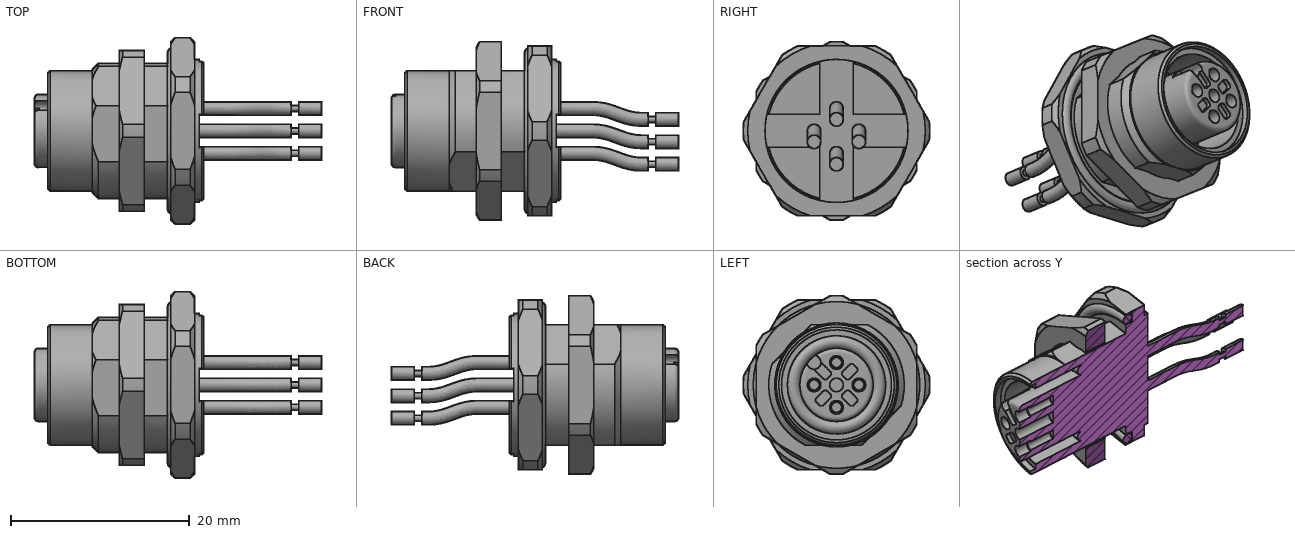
import cadquery as cq
import math

TOTAL_LENGTH = 32.15

INSERT_DIAMETER = 8.2
INSERT_EDGE_RADIUS = 0.48
CONTACT_OFFSET = 2.5
HOLE_DIAMETER = 1.5
SOCKET_DIAMETER = 1.15
MOUTH_DEPTH = 1.6
HOLE_DEPTH = 4.82
KEY_DEPTH = 3.2
KEY_ANGLE = 45.0
KEY_RADIUS = CONTACT_OFFSET * math.sqrt(2)
WINDOW_WIDTH = 1.13
WINDOW_INNER = 1.22
WINDOW_OUTER = 2.95
WINDOW_CORNER_RADIUS = 0.32
WINDOW_DEPTH = 0.55

SLEEVE_START = 1.48
SLEEVE_DIAMETER = 13.5
SLEEVE_CHAMFER = 0.3
RECESS_DIAMETER = 12.3
RECESS_DEPTH = 0.8
BORE_DIAMETER = 11.0
BORE_END = 9.0

SHANK_START = 6.5
SHANK_DIAMETER = 15.17
SHANK_CHAMFER = 0.68
FLAT_DISTANCE = SLEEVE_DIAMETER

FLANGE_START = 15.25
FLANGE_WIDTH = 2.7
FLANGE_ACROSS_FLATS = 19.03
FLANGE_DIAMETER = 20.9
FLANGE_CHAMFER = 0.5
FLANGE_END = FLANGE_START + FLANGE_WIDTH

COLLAR_DIAMETER = 16.0
COLLAR_REAR_DIAMETER = 15.6
COLLAR_END = 18.97
COLLAR_SLOT_WIDTH = 3.7
COLLAR_SLOT_DEPTH = 0.5

SEAL_MEAN_RADIUS = 8.68
SEAL_THICKNESS = 1.3
SEAL_PROTRUSION = 0.35

NUT_START = 9.5
NUT_WIDTH = 2.83
NUT_ACROSS_FLATS = 18.0
NUT_DIAMETER = 20.0
NUT_FACE_DIAMETER = 18.65
NUT_CHAMFER_ANGLE = 30.0
NUT_BORE_DIAMETER = 13.9

WIRE_DIAMETER = 1.5
WIRE_NECK_DIAMETER = 0.7
BEND_START = 22.55
BEND_END = 28.05
BEND_DROP = 1.22
NECK_START = 28.75
NECK_END = 29.58


def yz_plane(x):
    """Workplane square to the X axis at station x; local axes are Y and Z."""
    return cq.Workplane("YZ", origin=(x, 0, 0))


def rod(start, end, diameter, y=0.0, z=0.0):
    """Round bar parallel to X."""
    return yz_plane(start).center(y, z).circle(diameter / 2).extrude(end - start)


def revolved(outline):
    """Solid of revolution about X from (x, radius) points."""
    return cq.Workplane("XY").polyline(outline).close().revolve(360, (0, 0, 0), (1, 0, 0))


def hexagon(start, width, across_flats, turn):
    """Hexagonal prism along X; with no turn two corners lie on Y."""
    corner_diameter = across_flats / math.cos(math.pi / 6)
    prism = yz_plane(start).polygon(6, corner_diameter).extrude(width)
    return prism.rotate((0, 0, 0), (1, 0, 0), turn)


def make_sleeve():
    """Smooth front sleeve with a chamfered rim."""
    sleeve = rod(SLEEVE_START, SHANK_START, SLEEVE_DIAMETER)
    return sleeve.faces("<X").chamfer(SLEEVE_CHAMFER)


def make_shank():
    """Shank with one pair of flats square to Z and one pair square to the key direction."""
    shank = rod(SHANK_START, FLANGE_START, SHANK_DIAMETER).faces("<X").chamfer(SHANK_CHAMFER)
    for turn in (0, -KEY_ANGLE):
        slab = (
            yz_plane(SHANK_START)
            .rect(SHANK_DIAMETER, FLAT_DISTANCE)
            .extrude(FLANGE_START - SHANK_START)
            .rotate((0, 0, 0), (1, 0, 0), turn)
        )
        shank = shank.intersect(slab)
    return shank


def make_flange():
    """Hexagonal flange with turned corners, chamfered on both sides."""
    disc = rod(FLANGE_START, FLANGE_END, FLANGE_DIAMETER).faces("<X or >X").chamfer(FLANGE_CHAMFER)
    return disc.intersect(hexagon(FLANGE_START, FLANGE_WIDTH, FLANGE_ACROSS_FLATS, 0))


def make_seal_groove():
    """Annular groove in the flange face, as wide as the seal ring."""
    depth = SEAL_THICKNESS - SEAL_PROTRUSION
    outer_radius = SEAL_MEAN_RADIUS + SEAL_THICKNESS / 2
    inner_radius = SEAL_MEAN_RADIUS - SEAL_THICKNESS / 2
    return yz_plane(FLANGE_START).circle(outer_radius).circle(inner_radius).extrude(depth)


def make_collar():
    """Rear collar with a bevelled edge and two crossed slots in its rear face."""
    bevel = (COLLAR_DIAMETER - COLLAR_REAR_DIAMETER) / 2
    collar = rod(FLANGE_END, COLLAR_END, COLLAR_DIAMETER).faces(">X").chamfer(bevel)
    slot_floor = yz_plane(COLLAR_END - COLLAR_SLOT_DEPTH)
    for size in ((COLLAR_DIAMETER, COLLAR_SLOT_WIDTH), (COLLAR_SLOT_WIDTH, COLLAR_DIAMETER)):
        collar = collar.cut(slot_floor.rect(*size).extrude(COLLAR_SLOT_DEPTH))
    return collar


def make_sleeve_bore():
    """Annular space around the insert, with a rounded sealing ring left at its floor."""
    recess = rod(SLEEVE_START, SLEEVE_START + RECESS_DEPTH, RECESS_DIAMETER)
    bore = rod(SLEEVE_START, BORE_END, BORE_DIAMETER)
    bead_radius = (BORE_DIAMETER - INSERT_DIAMETER) / 4
    bead_mean_radius = (BORE_DIAMETER + INSERT_DIAMETER) / 4
    bead = cq.Workplane(cq.Solid.makeTorus(
        bead_mean_radius, bead_radius, cq.Vector(BORE_END, 0, 0), cq.Vector(1, 0, 0)
    ))
    return recess.union(bore).cut(bead).cut(rod(0, BORE_END, INSERT_DIAMETER))


def around_axis(offset):
    """Four (y, z) positions at the same distance from the axis, on Y and on Z."""
    return [(offset, 0), (0, offset), (-offset, 0), (0, -offset)]


def make_key_slot():
    """Coding slot with a round inner end, open to the insert's rim between +Y and +Z."""
    mouth = (
        yz_plane(0)
        .center(KEY_RADIUS + HOLE_DIAMETER / 2, 0)
        .rect(HOLE_DIAMETER, HOLE_DIAMETER)
        .extrude(KEY_DEPTH)
    )
    slot = rod(0, KEY_DEPTH, HOLE_DIAMETER, KEY_RADIUS, 0).union(mouth)
    return slot.rotate((0, 0, 0), (1, 0, 0), KEY_ANGLE)


def make_window(outer_end, turn):
    """Shallow radial pocket with rounded corners, ending at the given distance from the axis."""
    pocket = (
        yz_plane(0)
        .center((outer_end + WINDOW_INNER) / 2, 0)
        .rect(outer_end - WINDOW_INNER, WINDOW_WIDTH)
        .extrude(WINDOW_DEPTH)
        .edges("|X")
        .fillet(WINDOW_CORNER_RADIUS)
    )
    return pocket.rotate((0, 0, 0), (1, 0, 0), turn)


def make_insert():
    """Insert nose with contact holes, diagonal windows (one opens into the key) and a key slot."""
    insert = rod(0, BORE_END, INSERT_DIAMETER).faces("<X").edges().fillet(INSERT_EDGE_RADIUS)

    insert = insert.cut(rod(0, HOLE_DEPTH, HOLE_DIAMETER))
    for y, z in around_axis(CONTACT_OFFSET):
        insert = insert.cut(rod(0, MOUTH_DEPTH, HOLE_DIAMETER, y, z))
        insert = insert.cut(rod(0, HOLE_DEPTH, SOCKET_DIAMETER, y, z))

    insert = insert.cut(make_window(KEY_RADIUS, KEY_ANGLE))
    for quarter in (1, 2, 3):
        insert = insert.cut(make_window(WINDOW_OUTER, KEY_ANGLE + 90 * quarter))

    return insert.cut(make_key_slot())


def make_wire(y, z):
    """Insulated wire with an S-bend down, a bare neck and a leftover end of insulation."""
    low = z - BEND_DROP
    straight = rod(COLLAR_END - COLLAR_SLOT_DEPTH, BEND_START, WIRE_DIAMETER, y, z)
    bend_path = cq.Workplane("XZ", origin=(0, y, 0)).spline(
        [(BEND_START, z), (BEND_END, low)], tangents=[(1, 0), (1, 0)]
    )
    bend = yz_plane(BEND_START).center(y, z).circle(WIRE_DIAMETER / 2).sweep(bend_path)
    tail = rod(BEND_END, NECK_START, WIRE_DIAMETER, y, low)
    neck = rod(NECK_START, NECK_END, WIRE_NECK_DIAMETER, y, low)
    end = rod(NECK_END, TOTAL_LENGTH, WIRE_DIAMETER, y, low)
    return straight.union(bend).union(tail).union(neck).union(end)


def make_connector():
    """Sleeve, shank, flange, collar, insert and the four moulded-in wires."""
    connector = make_sleeve().union(make_shank()).union(make_flange()).union(make_collar())
    connector = connector.cut(make_seal_groove())
    connector = connector.cut(rod(SLEEVE_START, BORE_END, INSERT_DIAMETER)).cut(make_sleeve_bore())
    connector = connector.union(make_insert())
    for y, z in around_axis(CONTACT_OFFSET):
        connector = connector.union(make_wire(y, z))
    return connector


def make_seal_ring():
    """Round-section ring seated on the groove floor and standing proud of the flange."""
    centre_x = FLANGE_START - SEAL_PROTRUSION + SEAL_THICKNESS / 2
    return cq.Workplane(cq.Solid.makeTorus(
        SEAL_MEAN_RADIUS, SEAL_THICKNESS / 2, cq.Vector(centre_x, 0, 0), cq.Vector(1, 0, 0)
    ))


def make_nut():
    """Hexagonal nut, chamfered on its front; its bore follows the shank and its flats."""
    nut_end = NUT_START + NUT_WIDTH
    face_radius = NUT_FACE_DIAMETER / 2
    corner_radius = NUT_DIAMETER / 2
    chamfer_length = (corner_radius - face_radius) * math.tan(math.radians(NUT_CHAMFER_ANGLE))
    blank = revolved([
        (NUT_START, 0),
        (NUT_START, face_radius),
        (NUT_START + chamfer_length, corner_radius),
        (nut_end, corner_radius),
        (nut_end, 0),
    ])
    nut = blank.intersect(hexagon(NUT_START, NUT_WIDTH, NUT_ACROSS_FLATS, 30))
    return nut.cut(rod(NUT_START, nut_end, NUT_BORE_DIAMETER)).cut(make_shank())


connector = make_connector()
seal_ring = make_seal_ring()
nut = make_nut()

result = cq.Compound.makeCompound([connector.val(), seal_ring.val(), nut.val()])